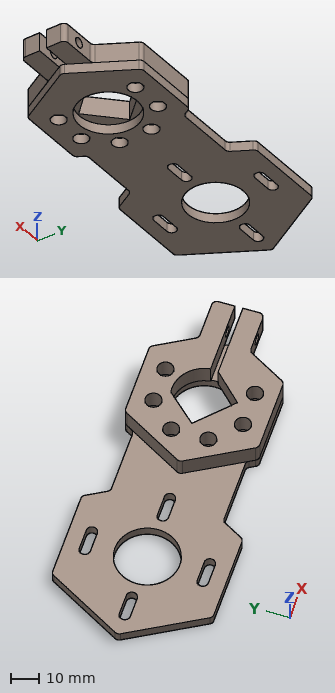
import cadquery as cq
import math

overall_length = 139.9

plate_thickness = 4.0
large_hex_width = 60.0
small_hex_width = 50.0
hex_spacing = 65.6
web_width = 42.0
corner_radius = 2.0
large_bore_diameter = 24.0
plate_bore_diameter = 25.0

slot_length = 12.0
slot_width = 4.0
slot_offset = 22.0

bolt_hole_diameter = 6.0
bolt_circle_radius = 18.0
bolt_pitch_angle = 45
bolt_count = 6
first_bolt_angle = 1.5 * bolt_pitch_angle

clamp_thickness = 8.0
arms_width = 19.0
slit_width = 3.0
hexagon_corner_ratio = 1 / math.cos(math.radians(30))
left_end_x = -corner_radius - (large_hex_width / 2 - corner_radius) * hexagon_corner_ratio
arm_end_x = left_end_x + overall_length
screw_hole_diameter = 4.0
screw_hole_offset = 31.3

clamp_bore_radius = 12.0
arc_start_angle = -5
arc_end_angle = 98
left_corner_angle = 176.5
lower_corner_angle = 276


def hexagon(width, thickness, center_x):
    """Hexagonal prism with two corners on the X direction."""
    corner_diameter = width * hexagon_corner_ratio
    return cq.Workplane("XY").center(center_x, 0).polygon(6, corner_diameter).extrude(thickness)


def bar(start_x, end_x, width, thickness):
    """Rectangular bar along X, centred on the X axis."""
    length = end_x - start_x
    return cq.Workplane("XY").center(start_x + length / 2, 0).rect(length, width).extrude(thickness)


def cylinder(center_x, diameter, height):
    """Vertical cylinder used to cut a bore."""
    return cq.Workplane("XY").center(center_x, 0).circle(diameter / 2).extrude(height)


def bolt_hole_cutters(height):
    """Cylinders for the bolt holes around the small hexagon's centre."""
    angles = [math.radians(first_bolt_angle + i * bolt_pitch_angle) for i in range(bolt_count)]
    points = [(bolt_circle_radius * math.cos(a), bolt_circle_radius * math.sin(a)) for a in angles]
    return (
        cq.Workplane("XY")
        .center(hex_spacing, 0)
        .pushPoints(points)
        .circle(bolt_hole_diameter / 2)
        .extrude(height)
    )


def clamp_bore_point(angle):
    """Point on the clamp bore's circle, in degrees from +X."""
    a = math.radians(angle)
    return (clamp_bore_radius * math.cos(a), clamp_bore_radius * math.sin(a))


def clamp_bore_cutter():
    """Bore with one round stretch and three flats."""
    return (
        cq.Workplane("XY")
        .center(hex_spacing, 0)
        .moveTo(*clamp_bore_point(arc_start_angle))
        .threePointArc(
            clamp_bore_point((arc_start_angle + arc_end_angle) / 2),
            clamp_bore_point(arc_end_angle),
        )
        .lineTo(*clamp_bore_point(left_corner_angle))
        .lineTo(*clamp_bore_point(lower_corner_angle))
        .close()
        .extrude(clamp_thickness)
    )


def make_plate():
    """Flat plate with both hexagons, its bores, slots and bolt holes."""
    plate = (
        hexagon(large_hex_width, plate_thickness, 0)
        .union(hexagon(small_hex_width, plate_thickness, hex_spacing))
        .union(bar(0, hex_spacing, web_width, plate_thickness))
        .edges("|Z")
        .fillet(corner_radius)
    )
    slot_points = [(slot_offset, 0), (0, slot_offset), (-slot_offset, 0), (0, -slot_offset)]
    slots = cq.Workplane("XY").pushPoints(slot_points).slot2D(slot_length, slot_width).extrude(plate_thickness)
    return (
        plate
        .cut(cylinder(0, large_bore_diameter, plate_thickness))
        .cut(cylinder(hex_spacing, plate_bore_diameter, plate_thickness))
        .cut(slots)
        .cut(bolt_hole_cutters(plate_thickness))
    )


def make_clamp():
    """Slit clamp that rests on top of the plate."""
    clamp = (
        hexagon(small_hex_width, clamp_thickness, hex_spacing)
        .union(bar(hex_spacing, arm_end_x, arms_width, clamp_thickness))
        .edges("|Z")
        .fillet(corner_radius)
    )
    screw_hole = (
        cq.Workplane("XZ")
        .center(hex_spacing + screw_hole_offset, clamp_thickness / 2)
        .circle(screw_hole_diameter / 2)
        .extrude(arms_width / 2, both=True)
    )
    return (
        clamp
        .cut(clamp_bore_cutter())
        .cut(bar(hex_spacing, arm_end_x, slit_width, clamp_thickness))
        .cut(bolt_hole_cutters(clamp_thickness))
        .cut(screw_hole)
        .translate((0, 0, plate_thickness))
    )


plate = make_plate()
clamp = make_clamp()
result = cq.Compound.makeCompound([plate.val(), clamp.val()])